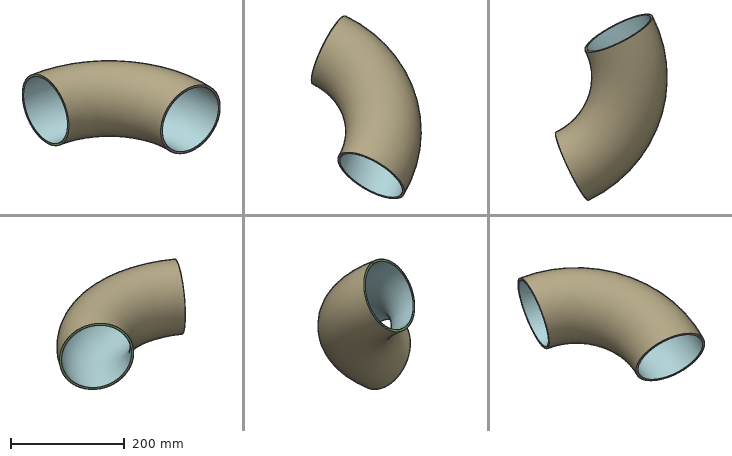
import cadquery as cq

overall_size = 247.5
outer_diameter = 133.0
wall_thickness = 4.0
bend_angle = 90.0

outer_radius = outer_diameter / 2
inner_radius = outer_radius - wall_thickness
bend_radius = overall_size - outer_radius

pipe_section = (
    cq.Workplane("XZ")
    .center(-bend_radius, 0)
    .circle(outer_radius)
    .circle(inner_radius)
)

axis_start = (bend_radius, 0, 0)
axis_end = (bend_radius, -1, 0)
result = pipe_section.revolve(bend_angle, axis_start, axis_end)